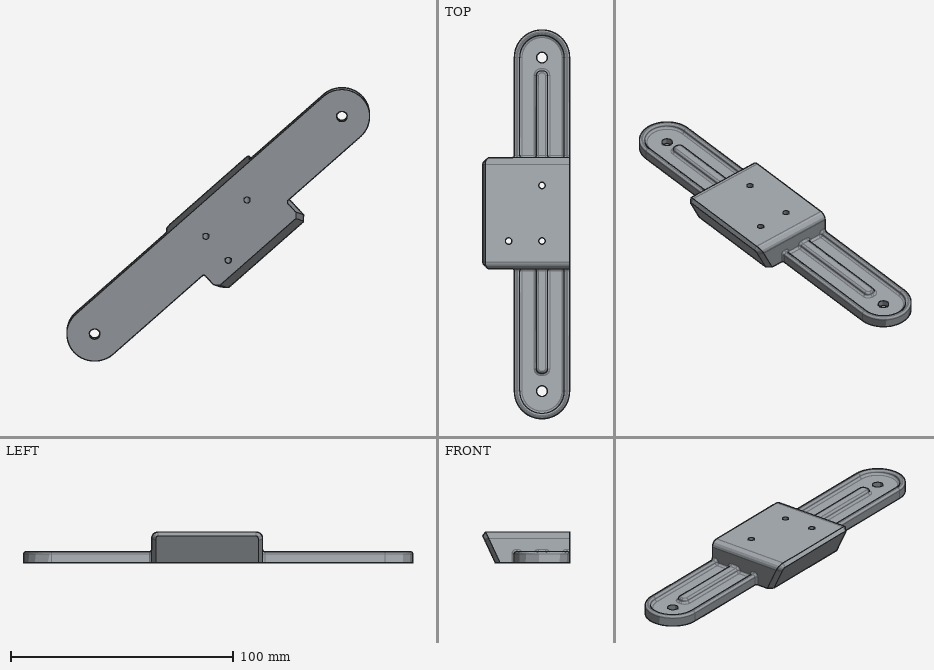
import cadquery as cq
import math

hole_spacing = 150.0
arm_width = 25.0
arm_height = 5.0
arm_length = hole_spacing + arm_width
end_hole_diameter = 4.72

edge_radius = 1.0
wall_land = 0.02
relief_depth = 2 * edge_radius + wall_land
floor_height = arm_height - relief_depth
rim_width = 2.5
relief_width = arm_width - 2 * rim_width
relief_length = arm_length - 2 * rim_width
rib_width = 5.0
rib_corner_radius = 2.0
rib_back_gap = 6.0
rib_front_gap = 8.0
rib_length = hole_spacing - rib_back_gap - rib_front_gap
rib_center_y = (rib_front_gap - rib_back_gap) / 2

overall_width = 39.15
block_length = 50.0
block_center_y = 5.0
block_height = 13.85
block_top_radius = 3.0
slant_angle = math.radians(25.0)
slant_chamfer = 2.0
block_right_x = arm_width / 2
block_left_x = block_right_x - overall_width
trim_allowance = 3.0
block_front_y = block_center_y - block_length / 2
block_back_y = block_center_y + block_length / 2

slant_top_x = block_left_x - slant_chamfer * math.sin(slant_angle)
slant_bottom_x = slant_top_x + block_height * math.tan(slant_angle)

screw_hole_diameter = 2.8
screw_pitch_x = 15.0
screw_pitch_y = 25.0
screw_back_y = block_center_y + screw_pitch_y / 2
screw_front_y = block_center_y - screw_pitch_y / 2

along_y = 90
tolerance = 0.001


def is_raised_horizontal_edge(edge):
    """True for a level edge that lies above the underside."""
    box = edge.BoundingBox()
    return box.zmax - box.zmin < tolerance and box.zmin > tolerance


def is_joint_edge(edge):
    """True for an edge where the arm runs into the front or back of the block."""
    box = edge.BoundingBox()
    on_block_end = any(
        abs(box.ymin - y) < tolerance and abs(box.ymax - y) < tolerance
        for y in (block_front_y, block_back_y)
    )
    on_arm_outline = (
        box.xmin > -arm_width / 2 - tolerance
        and box.xmax < arm_width / 2 + tolerance
        and box.zmax < arm_height + tolerance
    )
    on_underside = box.zmax < tolerance
    return on_block_end and on_arm_outline and not on_underside


def make_arm():
    """Round-ended bar with a recessed floor, leaving a rounded rim and middle rib."""
    arm = cq.Workplane("XY").slot2D(arm_length, arm_width, along_y).extrude(arm_height)
    floor_plane = cq.Workplane("XY").workplane(offset=floor_height)
    relief = floor_plane.slot2D(relief_length, relief_width, along_y).extrude(relief_depth)
    rib = floor_plane.center(0, rib_center_y).rect(rib_width, rib_length).extrude(relief_depth)
    rib = rib.edges("|Z").fillet(rib_corner_radius)
    arm = arm.cut(relief.cut(rib))
    raised_edges = [edge for edge in arm.edges().vals() if is_raised_horizontal_edge(edge)]
    return arm.newObject(raised_edges).fillet(edge_radius)


def make_block():
    """Block with rounded front and back top edges and a chamfer around its slanted face."""
    block = (
        cq.Workplane("XZ", origin=(0, block_back_y, 0))
        .moveTo(block_right_x + trim_allowance, 0)
        .lineTo(block_right_x + trim_allowance, block_height)
        .lineTo(slant_top_x, block_height)
        .lineTo(slant_bottom_x, 0)
        .close()
        .extrude(block_length)
    )
    block = block.faces(">Z").edges("|X").fillet(block_top_radius)
    slant_outline = block.faces("<X").edges().filter(lambda edge: edge.BoundingBox().zmax > tolerance)
    return block.newObject(slant_outline.vals()).chamfer(slant_chamfer)


def join_with_rounding(arm, block):
    """Unite arm and block, round the inside corner all around, and trim the +X side flush."""
    body = arm.union(block)
    joint_edges = [edge for edge in body.edges().vals() if is_joint_edge(edge)]
    body = body.newObject(joint_edges).fillet(edge_radius)
    surplus = (
        cq.Workplane("XY")
        .box(trim_allowance, arm_length, block_height, centered=(False, True, False))
        .translate((block_right_x, 0, 0))
    )
    return body.cut(surplus)


def drill(body, points, diameter):
    """Drill through the full height at each point."""
    pins = cq.Workplane("XY").pushPoints(points).circle(diameter / 2).extrude(block_height)
    return body.cut(pins)


end_hole_points = [(0, -hole_spacing / 2), (0, hole_spacing / 2)]
screw_points = [(0, screw_back_y), (0, screw_front_y), (-screw_pitch_x, screw_front_y)]

result = join_with_rounding(make_arm(), make_block())
result = drill(result, end_hole_points, end_hole_diameter)
result = drill(result, screw_points, screw_hole_diameter)